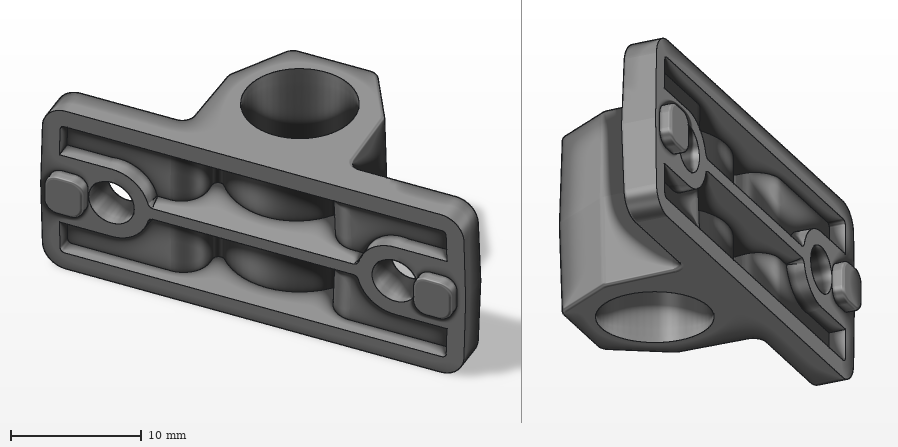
import cadquery as cq
import math


plate_length = 36.0
plate_thickness = 3.0
part_width = 15.0
half_length = plate_length / 2
half_width = part_width / 2
plate_corner_radius = 2.0
housing_height = 15.0
housing_top_half = 3.75
housing_shoulder_half = 6.82
housing_shoulder_height = 9.8
housing_base_half = 7.06
draft_angle = 1.5

base_fillet = 1.0
housing_corner_fillet = 1.0
rim_fillet = 0.3

wall = 1.5
bore_radius = 4.55
bore_height = 8.5
tube_radius = bore_radius + wall

recess_floor = plate_thickness - wall
recess_half_length = half_length - wall
recess_half_width = half_width - wall
recess_corner_radius = 0.4
hollow_half = 5.5
hollow_mouth_fillet = 2.2
hollow_tube_fillet = 0.5

screw_offset = 12.0
screw_boss_radius = 3.2
screw_hole_mouth_radius = 1.93
screw_hole_exit_radius = 1.7
rib_thickness = 1.0
rib_boss_fillet = 0.5
rib_draft_angle = 5.0
boss_draft_angle = 2.0

peg_offset = 15.62
peg_length = 3.3
peg_width = 3.5
peg_height = 1.0
peg_corner_radius = 1.1
peg_edge_fillet = 0.25

edge_search_reach = 0.4


def both_halves(upper_half):
    """Join an upper half to its mirror image below Z = 0."""
    return upper_half.union(upper_half.mirror("XY"))


def edges_near(body, points, height):
    """Edges whose centres lie near the given XY points, mirrored in X, at one height."""
    margin = cq.Vector(edge_search_reach, edge_search_reach, edge_search_reach)
    found = []
    for x, y in points:
        for side in (-1, 1):
            centre = cq.Vector(side * x, y, height)
            low = (centre - margin).toTuple()
            high = (centre + margin).toTuple()
            found += body.edges(cq.selectors.BoxSelector(low, high)).vals()
    return body.newObject(found)


def mounting_plane():
    """Workplane in the mounting face: local X is X, local Y is -Z, extrusions go toward +Y."""
    return cq.Workplane(cq.Plane((0, 0, 0), (1, 0, 0), (0, 1, 0)))


def outer_body():
    """Plate and housing drafted from the parting plane, with the outside edges rounded."""
    base_corner = (housing_base_half, plate_thickness)
    shoulder = (housing_shoulder_half, housing_shoulder_height)
    crown = (housing_top_half, housing_height)
    right_side = [(housing_base_half, 0), shoulder, crown]
    left_side = [(-x, y) for x, y in reversed(right_side)]
    housing = cq.Workplane("XY").polyline(right_side + left_side).close()
    housing = housing.extrude(half_width, taper=draft_angle)
    plate = cq.Workplane("XY").rect(plate_length, 2 * plate_thickness)
    plate = plate.extrude(half_width, taper=draft_angle)
    half = plate.union(housing)

    half = edges_near(half, [base_corner], half_width / 2).fillet(base_fillet)
    half = edges_near(half, [shoulder, crown], half_width / 2).fillet(housing_corner_fillet)
    half = half.faces(">Z").edges("|Y").fillet(plate_corner_radius)
    behind_face = cq.Workplane("XY").box(
        plate_length, plate_thickness, part_width, centered=(True, False, True)
    ).translate((0, -plate_thickness, 0))
    half = half.cut(behind_face)
    half = half.faces(">Z").edges(">Y").fillet(rim_fillet)
    return both_halves(half)


def bore():
    """Through bore along Z."""
    circle = cq.Workplane("XY").center(0, bore_height).circle(bore_radius)
    return circle.extrude(half_width, both=True)


def recess_envelope():
    """Recess without its islands: a shallow floor opening into a hollow below the tube."""
    floor = cq.Workplane("XY").rect(2 * recess_half_length, 2 * recess_floor)
    floor = floor.extrude(recess_half_width, taper=draft_angle)
    hollow = cq.Workplane("XY").rect(2 * hollow_half, 2 * bore_height)
    hollow = hollow.extrude(recess_half_width, taper=draft_angle)
    half = floor.union(hollow)
    mouth = (hollow_half, recess_floor)
    half = edges_near(half, [mouth], recess_half_width / 2).fillet(hollow_mouth_fillet)
    half = half.faces(">Z").edges("|Y").edges("<X or >X").fillet(recess_corner_radius)

    tube = cq.Workplane("XY").center(0, bore_height).circle(tube_radius).extrude(half_width)
    half = half.cut(tube)
    crevice_drop = math.sqrt(tube_radius**2 - hollow_half**2)
    crevice = (hollow_half, bore_height - crevice_drop)
    half = edges_near(half, [crevice], recess_half_width / 2).fillet(hollow_tube_fillet)
    return both_halves(half)


def rib():
    """Rib on the parting plane, thickening with depth until it meets the tube."""
    outline = mounting_plane().rect(2 * screw_offset, rib_thickness)
    return outline.extrude(bore_height, taper=-rib_draft_angle)


def screw_boss(side):
    """Screw boss: round toward the rib, running straight out to the end wall."""
    round_end = mounting_plane().center(side * screw_offset, 0).circle(screw_boss_radius)
    round_end = round_end.extrude(recess_floor, taper=-boss_draft_angle)
    tail_length = half_length - wall / 2 - screw_offset
    tail = mounting_plane().center(side * (screw_offset + tail_length / 2), 0)
    tail = tail.rect(tail_length, 2 * screw_boss_radius)
    return round_end.union(tail.extrude(recess_floor))


def junction_web(side):
    """Web that rounds off the two inside corners where the rib runs into a screw boss."""
    fillet_z = rib_thickness / 2 + rib_boss_fillet
    fillet_x = screw_offset - math.sqrt((screw_boss_radius + rib_boss_fillet) ** 2 - fillet_z**2)
    reach = screw_boss_radius / (screw_boss_radius + rib_boss_fillet)
    boss_x = screw_offset + (fillet_x - screw_offset) * reach
    boss_z = fillet_z * reach
    corner_angle = (math.atan2(boss_z - fillet_z, boss_x - fillet_x) - math.pi / 2) / 2
    middle_x = fillet_x + rib_boss_fillet * math.cos(corner_angle)
    middle_z = fillet_z + rib_boss_fillet * math.sin(corner_angle)
    outline = (
        mounting_plane()
        .moveTo(side * fillet_x, rib_thickness / 2)
        .threePointArc((side * middle_x, middle_z), (side * boss_x, boss_z))
        .lineTo(side * boss_x, -boss_z)
        .threePointArc((side * middle_x, -middle_z), (side * fillet_x, -rib_thickness / 2))
        .close()
    )
    return outline.extrude(recess_floor)


def recess():
    """Everything removed from the mounting face, leaving the rib and screw bosses standing."""
    islands = rib()
    for side in (-1, 1):
        islands = islands.union(screw_boss(side)).union(junction_web(side))
    return recess_envelope().cut(islands)


def screw_hole(side):
    """Tapered screw hole, widest at the mounting face."""
    cone = cq.Solid.makeCone(
        screw_hole_mouth_radius,
        screw_hole_exit_radius,
        plate_thickness,
        pnt=cq.Vector(side * screw_offset, 0, 0),
        dir=cq.Vector(0, 1, 0),
    )
    return cq.Workplane(cone)


def peg(side):
    """Rounded locating peg standing out of the mounting face."""
    body = mounting_plane().center(side * peg_offset, 0).rect(peg_length, peg_width)
    body = body.extrude(-peg_height).edges("|Y").fillet(peg_corner_radius)
    return body.faces("<Y").edges().fillet(peg_edge_fillet)


result = outer_body().cut(recess()).cut(bore())
for end in (-1, 1):
    result = result.cut(screw_hole(end)).union(peg(end))